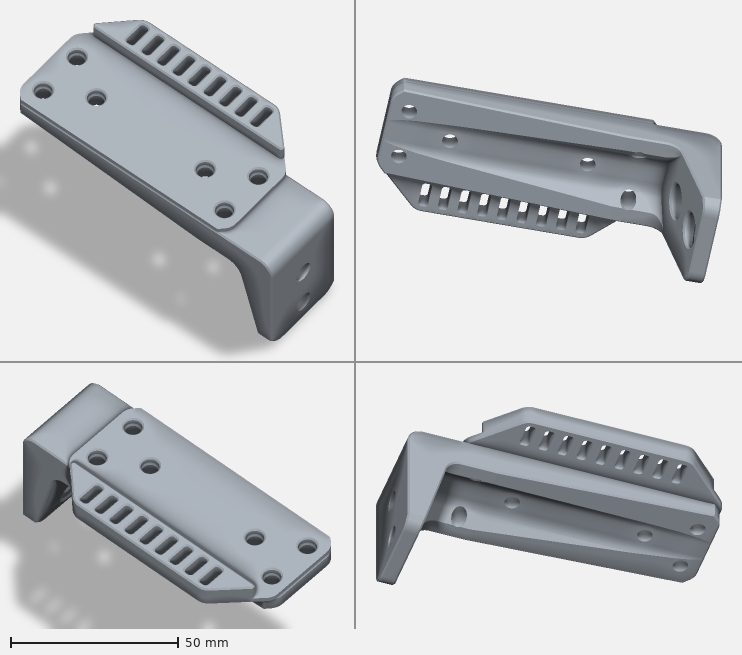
import cadquery as cq
import math

EDGE_BREAK = 0.5
CORNER_CUT = 3.0
CORNER_RADIUS = 5.0

BRACKET_LENGTH = 100.0
BRACKET_WIDTH = 30.0
BRACKET_HEIGHT = 40.0
MIDDLE_Y = BRACKET_WIDTH / 2
ARM_TIP_THICKNESS = 5.0
ARM_ROOT_THICKNESS = 10.0
ARM_TAPER = 4.0
LEG_TIP_THICKNESS = 5.0
LEG_TAPER = 15.4
ELBOW_RADIUS = 5.0

LEG_HOLE_DIAMETER = 6.5
LEG_COUNTERBORE_DIAMETER = 10.5
LEG_COUNTERBORE_FLOOR = 5.0
LEG_HOLE_TOP_Z = -17.5
LEG_HOLE_COUNT = 2
LEG_HOLE_PITCH = 15.0

CHANNEL_CEILING_Z = -ARM_TIP_THICKNESS
CHANNEL_CEILING_WIDTH = 10.0
CHANNEL_CORNER_RADIUS = 5.0

PLATE_LENGTH = 82.0
PLATE_WIDTH = 43.99
PLATE_THICKNESS = 2.0
PLATE_SIDE_LENGTH = 29.0
RAIL_TOP_Z = 7.0
RAIL_NEAR_Y = 32.0
SMALL_CORNER_RADIUS = 1.0
PLATE_MIDDLE_X = PLATE_LENGTH / 2

SLOT_COUNT = 9
SLOT_PITCH = 6.0
SLOT_WIDTH = 3.0
SLOT_LENGTH = 8.0
SLOT_CORNER_RADIUS = 1.0

SCREW_HOLE_DIAMETER = 4.7
CLEARANCE_DIAMETER = 5.7
OUTER_SCREWS_X = 70.0
OUTER_SCREWS_Y = 16.0
INNER_SCREWS_X = 42.0

OUTER_SCREWS = [
    (PLATE_MIDDLE_X + sx * OUTER_SCREWS_X / 2, MIDDLE_Y + sy * OUTER_SCREWS_Y / 2)
    for sx in (-1, 1)
    for sy in (-1, 1)
]
INNER_SCREWS = [(PLATE_MIDDLE_X + sx * INNER_SCREWS_X / 2, MIDDLE_Y) for sx in (-1, 1)]
SCREWS = OUTER_SCREWS + INNER_SCREWS


def countersinks(hole_diameter, top_z):
    """45 degree cones that break the upper edge of every screw hole."""
    mouths = cq.Workplane("XY", origin=(0, 0, top_z)).pushPoints(SCREWS)
    return mouths.circle(hole_diameter / 2 + EDGE_BREAK).extrude(-EDGE_BREAK, taper=45)


def leg_face_x(z):
    """X of the leg's sloping inner face at height z."""
    tip_x = BRACKET_LENGTH - LEG_TIP_THICKNESS
    return tip_x - (z + BRACKET_HEIGHT) * math.tan(math.radians(LEG_TAPER))


def bracket_blank():
    """The L-shaped profile across the full width, with rounded elbow and cut end corners."""
    taper_run = (ARM_ROOT_THICKNESS - ARM_TIP_THICKNESS) / math.tan(math.radians(ARM_TAPER))
    inner_elbow_x = leg_face_x(-ARM_ROOT_THICKNESS)
    blank = (
        cq.Workplane("XZ")
        .polyline([
            (0, 0),
            (BRACKET_LENGTH, 0),
            (BRACKET_LENGTH, -BRACKET_HEIGHT),
            (leg_face_x(-BRACKET_HEIGHT), -BRACKET_HEIGHT),
            (inner_elbow_x, -ARM_ROOT_THICKNESS),
            (taper_run, -ARM_ROOT_THICKNESS),
            (0, -ARM_TIP_THICKNESS),
        ])
        .close()
        .extrude(-BRACKET_WIDTH)
    )
    outer_elbow = cq.NearestToPointSelector((BRACKET_LENGTH, MIDDLE_Y, 0))
    inner_elbow = cq.NearestToPointSelector((inner_elbow_x, MIDDLE_Y, -ARM_ROOT_THICKNESS))
    blank = blank.edges(outer_elbow).fillet(ELBOW_RADIUS)
    blank = blank.edges(inner_elbow).fillet(ELBOW_RADIUS)
    blank = blank.faces("<X").edges("|Z").chamfer(CORNER_CUT)
    blank = blank.faces("<X").edges("|Z").fillet(CORNER_RADIUS)
    blank = blank.faces("<Z").edges("|X").chamfer(CORNER_CUT)
    return blank.faces("<Z").edges("|X").fillet(CORNER_RADIUS)


def is_rim_edge(edge):
    """True for edges around the outer and inner skins of the L, false for those crossing between."""
    start = edge.startPoint()
    end = edge.endPoint()
    middle = edge.Center()
    spans_width = abs(end.y - start.y) > BRACKET_WIDTH - CORNER_CUT
    in_arm_corner = middle.x <= CORNER_CUT and abs(end.z - start.z) > ARM_TIP_THICKNESS / 2
    in_leg_corner = (
        middle.z <= CORNER_CUT - BRACKET_HEIGHT and abs(end.x - start.x) > LEG_TIP_THICKNESS / 2
    )
    return not (spans_width or in_arm_corner or in_leg_corner)


def channel():
    """Tool clearance under the arm: a 45 degree trough that ends on the leg's inner face."""
    half_ceiling = CHANNEL_CEILING_WIDTH / 2
    depth = BRACKET_HEIGHT + CHANNEL_CEILING_Z
    trough = (
        cq.Workplane("YZ")
        .polyline([
            (MIDDLE_Y - half_ceiling, CHANNEL_CEILING_Z),
            (MIDDLE_Y + half_ceiling, CHANNEL_CEILING_Z),
            (MIDDLE_Y + half_ceiling + depth, -BRACKET_HEIGHT),
            (MIDDLE_Y - half_ceiling - depth, -BRACKET_HEIGHT),
        ])
        .close()
        .extrude(BRACKET_LENGTH)
        .faces(">Z")
        .edges("|X")
        .fillet(CHANNEL_CORNER_RADIUS)
    )
    before_leg = (
        cq.Workplane("XZ")
        .polyline([
            (0, 0),
            (leg_face_x(0), 0),
            (leg_face_x(-BRACKET_HEIGHT), -BRACKET_HEIGHT),
            (0, -BRACKET_HEIGHT),
        ])
        .close()
        .extrude(-BRACKET_WIDTH)
    )
    return trough.intersect(before_leg)


def make_bracket():
    blank = bracket_blank()
    bracket = blank.edges().filter(is_rim_edge).chamfer(EDGE_BREAK)
    bracket = bracket.cut(channel())

    counterbore_floor_x = BRACKET_LENGTH - LEG_COUNTERBORE_FLOOR
    for index in range(LEG_HOLE_COUNT):
        hole_z = LEG_HOLE_TOP_Z - index * LEG_HOLE_PITCH
        axis = cq.Workplane("YZ").center(MIDDLE_Y, hole_z)
        bracket = bracket.cut(axis.circle(LEG_HOLE_DIAMETER / 2).extrude(BRACKET_LENGTH))
        bracket = bracket.cut(axis.circle(LEG_COUNTERBORE_DIAMETER / 2).extrude(counterbore_floor_x))
        mouth = cq.NearestToPointSelector((leg_face_x(hole_z), MIDDLE_Y, hole_z))
        bracket = bracket.edges("not(%CIRCLE or %LINE)").edges(mouth).chamfer(EDGE_BREAK)

    screw_holes = (
        cq.Workplane("XY").pushPoints(SCREWS).circle(SCREW_HOLE_DIAMETER / 2).extrude(-BRACKET_HEIGHT / 2)
    )
    return bracket.cut(screw_holes).cut(countersinks(SCREW_HOLE_DIAMETER, 0))


def plate_outline(height):
    """The plate's full outline: cut near corners and long 45 degree far flanks."""
    flank = PLATE_WIDTH - PLATE_SIDE_LENGTH
    blank = (
        cq.Workplane("XY")
        .polyline([
            (CORNER_CUT, 0),
            (PLATE_LENGTH - CORNER_CUT, 0),
            (PLATE_LENGTH, CORNER_CUT),
            (PLATE_LENGTH, PLATE_SIDE_LENGTH),
            (PLATE_LENGTH - flank, PLATE_WIDTH),
            (flank, PLATE_WIDTH),
            (0, PLATE_SIDE_LENGTH),
            (0, CORNER_CUT),
        ])
        .close()
        .extrude(height)
    )
    blank = blank.edges("|Z").edges("<X or >X or >Y").fillet(CORNER_RADIUS)
    return blank.edges("|Z").edges("<Y").fillet(SMALL_CORNER_RADIUS)


def rail():
    """The raised far border, above the plate's top face."""
    far_strip = cq.Workplane("XY").box(
        PLATE_LENGTH, PLATE_WIDTH - RAIL_NEAR_Y, RAIL_TOP_Z, centered=False
    ).translate((0, RAIL_NEAR_Y, PLATE_THICKNESS))
    border = plate_outline(RAIL_TOP_Z).intersect(far_strip)
    return border.edges("|Z").edges("<Y").fillet(SMALL_CORNER_RADIUS)


def make_plate():
    plate = plate_outline(PLATE_THICKNESS).faces("<Z").edges().chamfer(EDGE_BREAK)
    plate = plate.union(rail())

    slot_centers = [
        (PLATE_MIDDLE_X + (index - (SLOT_COUNT - 1) / 2) * SLOT_PITCH, (RAIL_NEAR_Y + PLATE_WIDTH) / 2)
        for index in range(SLOT_COUNT)
    ]
    slots = (
        cq.Workplane("XY")
        .pushPoints(slot_centers)
        .rect(SLOT_WIDTH, SLOT_LENGTH)
        .extrude(RAIL_TOP_Z)
        .edges("|Z")
        .fillet(SLOT_CORNER_RADIUS)
    )
    plate = plate.cut(slots).faces(">Z").edges().chamfer(EDGE_BREAK)

    screw_holes = (
        cq.Workplane("XY").pushPoints(SCREWS).circle(CLEARANCE_DIAMETER / 2).extrude(PLATE_THICKNESS)
    )
    plate = plate.cut(screw_holes)
    return plate.cut(countersinks(CLEARANCE_DIAMETER, PLATE_THICKNESS))


bracket = make_bracket()
plate = make_plate()

result = cq.Compound.makeCompound([bracket.val(), plate.val()])